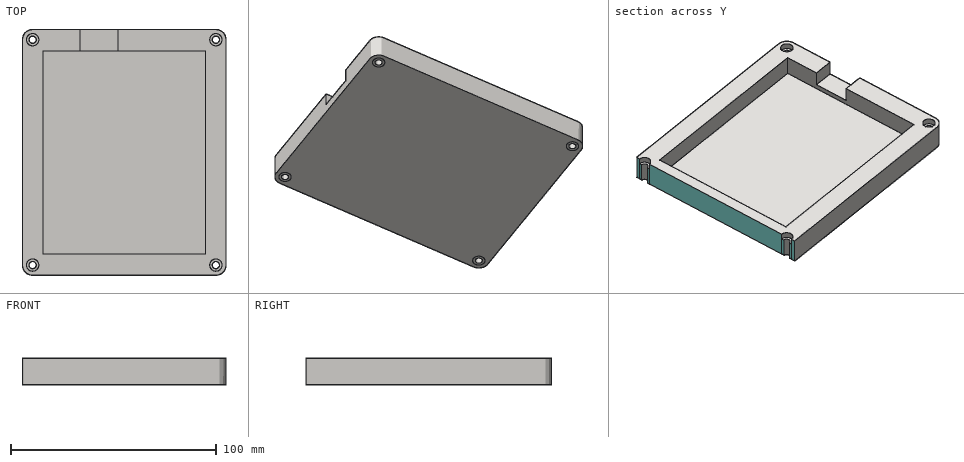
import cadquery as cq

CASE_X = 99.17
CASE_Y = 119.68
CASE_Z = 13.0
CORNER_RADIUS = 5.0

SIDE_WALL = 10.0
END_WALL = 10.5
FLOOR_THICKNESS = 3.0
POCKET_X = CASE_X - 2 * SIDE_WALL
POCKET_Y = CASE_Y - 2 * END_WALL

NOTCH_START = 28.1
NOTCH_WIDTH = 18.55
NOTCH_DEPTH = 7.5

BORE_INSET = 5.0
BUSHING_DIAMETER = 6.0
BUSHING_HOLE = 3.4
BUSHING_SINK = 3.0
BUSHING_LENGTH = CASE_Z - BUSHING_SINK

BORE_X = CASE_X / 2 - BORE_INSET
BORE_Y = CASE_Y / 2 - BORE_INSET
BORE_CENTRES = [(sx * BORE_X, sy * BORE_Y) for sx in (-1, 1) for sy in (-1, 1)]


def make_pocket():
    """Cavity of the case, from its floor up to the top face."""
    return (
        cq.Workplane("XY")
        .workplane(offset=FLOOR_THICKNESS)
        .rect(POCKET_X, POCKET_Y)
        .extrude(CASE_Z - FLOOR_THICKNESS)
    )


def make_notch():
    """Gap in the +Y wall, from the pocket out to the outer face."""
    return cq.Workplane("XY").box(NOTCH_WIDTH, END_WALL, NOTCH_DEPTH, centered=False).translate(
        (NOTCH_START - CASE_X / 2, POCKET_Y / 2, CASE_Z - NOTCH_DEPTH)
    )


def make_case():
    """Rounded block with its pocket, cable notch and four corner bores."""
    block = (
        cq.Workplane("XY")
        .box(CASE_X, CASE_Y, CASE_Z, centered=(True, True, False))
        .edges("|Z")
        .fillet(CORNER_RADIUS)
    )
    bores = cq.Workplane("XY").pushPoints(BORE_CENTRES).circle(BUSHING_DIAMETER / 2).extrude(CASE_Z)
    return block.cut(make_pocket()).cut(make_notch()).cut(bores)


def make_bushing(centre):
    """Plain sleeve standing in one corner bore, flush with the underside."""
    return (
        cq.Workplane("XY")
        .center(*centre)
        .circle(BUSHING_DIAMETER / 2)
        .circle(BUSHING_HOLE / 2)
        .extrude(BUSHING_LENGTH)
    )


case = make_case()
bushings = [make_bushing(centre) for centre in BORE_CENTRES]

result = cq.Compound.makeCompound([case.val(), *[bushing.val() for bushing in bushings]])